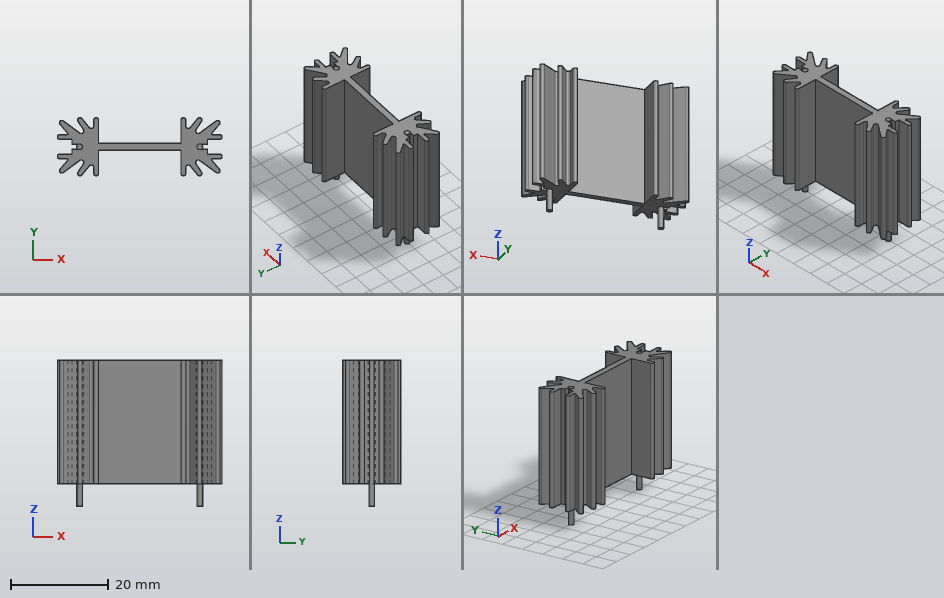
import cadquery as cq
import math


overall_x = 33.85
overall_y = 12.0
overall_z = 30.0
sink_height = 25.4

web_thickness = 1.5
fin_thickness = 1.0
fin_radius = fin_thickness / 2

inner_wall_x = 8.45
shoulder_x = 13.93
side_fin_y = 2.0
channel_width = 1.0

root_radius = 0.5
narrow_root_radius = 0.15

pin_diameter = 1.2
pin_x = 12.35

tip_y = overall_y / 2 - fin_radius
straight_tip = (inner_wall_x + fin_radius, tip_y)
steep_tip = (12.28, tip_y)
diagonal_tip = (15.99, 4.92)
side_tip = (overall_x / 2 - fin_radius, side_fin_y)

first_root = (inner_wall_x + fin_thickness + root_radius, 4.27)
second_root = (12.0, 3.23)
narrow_root = (14.9, side_fin_y + fin_radius + narrow_root_radius)

CLOCKWISE = -1
COUNTERCLOCKWISE = 1


def tangent_heading(start, end):
    """Heading of the line that leaves one round and meets the next, tangent to both."""
    (start_x, start_y), start_radius, start_turn = start
    (end_x, end_y), end_radius, end_turn = end
    dx = end_x - start_x
    dy = end_y - start_y
    offset = end_turn * end_radius - start_turn * start_radius
    return math.atan2(dy, dx) - math.asin(offset / math.hypot(dx, dy))


def point_on_round(item, heading):
    """Point of a round where the outline runs along the given heading."""
    (x, y), radius, turn = item
    return (x + turn * radius * math.sin(heading), y - turn * radius * math.cos(heading))


def add_round(outline, previous, item, following):
    """Continue the outline with a tangent line to a round and the arc along it."""
    turn = item[2]
    heading_in = tangent_heading(previous, item)
    heading_out = tangent_heading(item, following)
    swept = turn * ((turn * (heading_out - heading_in)) % (2 * math.pi))
    return outline.lineTo(*point_on_round(item, heading_in)).threePointArc(
        point_on_round(item, heading_in + swept / 2),
        point_on_round(item, heading_out),
    )


def make_quadrant():
    """Quarter of the extrusion with positive X and Y, without the pin hole."""
    web_corner = ((inner_wall_x, web_thickness / 2), 0, COUNTERCLOCKWISE)
    shoulder_corner = ((shoulder_x, side_fin_y - fin_radius), 0, COUNTERCLOCKWISE)
    path = [
        web_corner,
        (straight_tip, fin_radius, CLOCKWISE),
        (first_root, root_radius, COUNTERCLOCKWISE),
        (steep_tip, fin_radius, CLOCKWISE),
        (second_root, root_radius, COUNTERCLOCKWISE),
        (diagonal_tip, fin_radius, CLOCKWISE),
        (narrow_root, narrow_root_radius, COUNTERCLOCKWISE),
        (side_tip, fin_radius, CLOCKWISE),
        shoulder_corner,
    ]
    outline = cq.Workplane("XY").moveTo(0, 0).lineTo(0, web_thickness / 2).lineTo(*web_corner[0])
    for previous, item, following in zip(path, path[1:], path[2:]):
        outline = add_round(outline, previous, item, following)
    return (
        outline.lineTo(*shoulder_corner[0])
        .lineTo(shoulder_x, channel_width / 2)
        .lineTo(pin_x, channel_width / 2)
        .lineTo(pin_x, 0)
        .close()
        .extrude(sink_height)
    )


def make_pin(x):
    """Round pin, flush with the top of the heat sink and standing out below it."""
    return (
        cq.Workplane("XY", origin=(x, 0, sink_height - overall_z))
        .circle(pin_diameter / 2)
        .extrude(overall_z)
    )


def make_heat_sink(pin_places):
    """Whole extrusion: one quadrant mirrored twice, with a hole for each pin."""
    quadrant = make_quadrant()
    half = quadrant.union(quadrant.mirror("XZ"))
    sink = half.union(half.mirror("YZ"))
    holes = (
        cq.Workplane("XY")
        .pushPoints([(x, 0) for x in pin_places])
        .circle(pin_diameter / 2)
        .extrude(sink_height)
    )
    return sink.cut(holes)


pin_places = [-pin_x, pin_x]
heat_sink = make_heat_sink(pin_places)
pins = [make_pin(x) for x in pin_places]

result = cq.Compound.makeCompound([heat_sink.val(), *[pin.val() for pin in pins]])